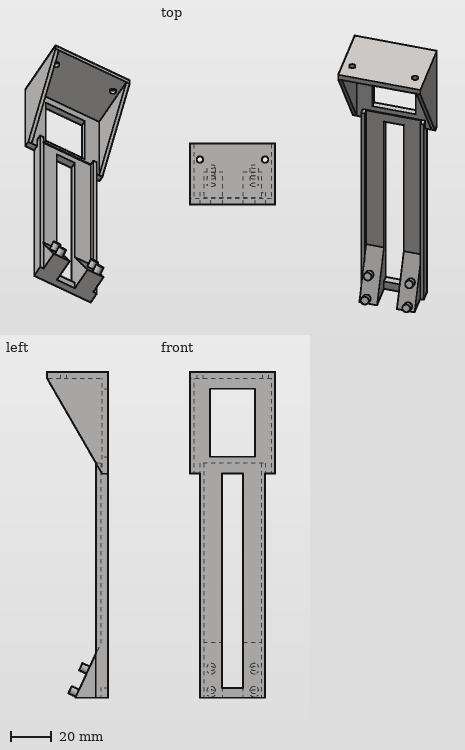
import cadquery as cq
import math

total_height = 160.0
head_web = 3.0
arm_web = 3.5
side_wall = 2.0

head_width = 42.0
head_height = 50.0
head_depth = 30.0
head_lip = 3.0
head_bottom = total_height - head_height
head_slope = (head_height - head_lip) / (head_depth - head_lip)

window_width = 22.0
window_height = 33.3
hole_diameter = 3.0
hole_spacing = 32.0
hole_y = 22.0

arm_width = 32.0
arm_depth = 6.0
slot_width = 10.0
slot_bottom = 5.0
flange_top = head_bottom + (arm_depth - head_lip) * head_slope

gusset_base_y = 16.2
gusset_height = 21.8
gusset_run = gusset_base_y - arm_depth
gusset_slope_length = math.hypot(gusset_run, gusset_height)
up_slope_y = -gusset_run / gusset_slope_length
up_slope_z = gusset_height / gusset_slope_length
peg_diameter = 4.0
peg_length = 4.0
peg_positions = (2.5, 15.0)
arm_inner_half = arm_width / 2 - side_wall
peg_x = 10.5


def block(width, y_start, y_end, z_start, z_end):
    """Box centred on X between the given Y and Z limits."""
    return cq.Workplane("XY").box(
        width, y_end - y_start, z_end - z_start, centered=(True, False, False)
    ).translate((0, y_start, z_start))


def side_profile(points, width):
    """Extrude a (Y, Z) outline symmetrically along X."""
    return cq.Workplane("YZ").polyline(points).close().extrude(width / 2, both=True)


def make_head():
    outline = [
        (0, head_bottom),
        (head_lip, head_bottom),
        (head_depth, total_height - head_lip),
        (head_depth, total_height),
        (0, total_height),
    ]
    cavity = block(
        head_width - 2 * side_wall, head_web, head_depth, head_bottom, total_height - head_lip
    )
    return side_profile(outline, head_width).cut(cavity)


def make_arm():
    web = block(arm_width, 0, arm_web, 0, flange_top)
    flanges = block(arm_width, 0, arm_depth, 0, flange_top)
    channel = block(2 * arm_inner_half, arm_web, arm_depth, 0, flange_top)
    return flanges.cut(channel).union(web)


def make_gussets():
    web_contact_z = (gusset_base_y - arm_web) * gusset_height / gusset_run
    outline = [(arm_web, 0), (gusset_base_y, 0), (arm_web, web_contact_z)]
    gap = block(slot_width, arm_web, gusset_base_y, 0, web_contact_z)
    return side_profile(outline, 2 * arm_inner_half).cut(gap)


def make_peg(x, distance):
    embed = peg_diameter / 4
    outward = cq.Vector(0, up_slope_z, -up_slope_y)
    foot = cq.Vector(x, gusset_base_y + distance * up_slope_y, distance * up_slope_z)
    start = foot - outward * embed
    return cq.Workplane(cq.Solid.makeCylinder(peg_diameter / 2, peg_length + embed, start, outward))


def make_openings():
    window_bottom = head_bottom + (head_height - window_height) / 2
    window = block(window_width, 0, head_depth, window_bottom, window_bottom + window_height)
    slot = block(slot_width, 0, arm_web, slot_bottom, head_bottom)
    holes = (
        cq.Workplane("XY", origin=(0, hole_y, head_bottom))
        .pushPoints([(-hole_spacing / 2, 0), (hole_spacing / 2, 0)])
        .circle(hole_diameter / 2)
        .extrude(head_height)
    )
    return window.union(slot).union(holes)


result = make_head().union(make_arm()).union(make_gussets())
for side in (-1, 1):
    for position in peg_positions:
        result = result.union(make_peg(side * peg_x, position))
result = result.cut(make_openings())